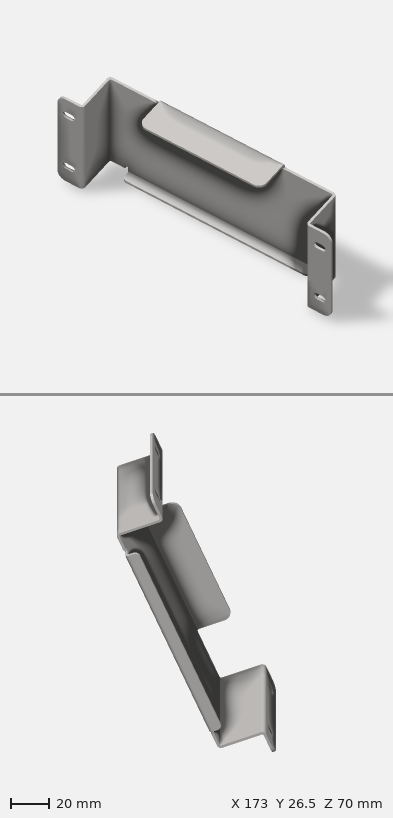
import cadquery as cq

length = 173.0
depth = 26.5
overall_height = 70.0
body_height = 64.0

thickness = 1.5
inner_bend = 0.7
outer_bend = inner_bend + thickness

ear_width = 16.0
ear_corner = 5.0
slot_length = 7.6
slot_height = 4.5
slot_inset = 7.1
slot_spacing = 40.0

top_tab_width = 78.0
top_tab_depth = 21.5
top_tab_corner = 5.0
bottom_tab_width = 118.2
bottom_tab_depth = 7.5
bottom_tab_corner = 3.0

notch_width = 2.0
notch_depth = 2.0

half_length = length / 2
inner_wall_x = half_length - ear_width
outer_wall_x = inner_wall_x + thickness


def make_body():
    """Hat-shaped strip: back plate, two side walls and two outward ears."""
    outline = [
        (-half_length, 0),
        (-inner_wall_x, 0),
        (-inner_wall_x, depth - thickness),
        (inner_wall_x, depth - thickness),
        (inner_wall_x, 0),
        (half_length, 0),
        (half_length, thickness),
        (outer_wall_x, thickness),
        (outer_wall_x, depth),
        (-outer_wall_x, depth),
        (-outer_wall_x, thickness),
        (-half_length, thickness),
    ]
    body = cq.Workplane("XY").polyline(outline).close().extrude(body_height / 2, both=True)
    outer_corners = [(side * x, y) for side in (-1, 1) for x, y in ((inner_wall_x, 0), (outer_wall_x, depth))]
    inner_corners = [
        (side * x, y)
        for side in (-1, 1)
        for x, y in ((inner_wall_x, depth - thickness), (outer_wall_x, thickness))
    ]
    for corners, radius in ((outer_corners, outer_bend), (inner_corners, inner_bend)):
        for x, y in corners:
            edge = cq.selectors.NearestToPointSelector((x, y, 0))
            body = body.edges("|Z").edges(edge).fillet(radius)
    ear_ends = body.faces("<X or >X").edges("|Y")
    return ear_ends.fillet(ear_corner)


def make_tab(width, tab_depth, corner, direction):
    """Tab folded forward from the back plate, at the top (+1) or bottom (-1)."""
    outer_z = direction * overall_height / 2
    inner_z = outer_z - direction * thickness
    root_z = direction * (body_height / 2 - notch_depth)
    front_y = depth - tab_depth
    back_inner_y = depth - thickness
    tab = (
        cq.Workplane("YZ")
        .moveTo(depth, root_z)
        .lineTo(depth, outer_z - direction * outer_bend)
        .radiusArc((depth - outer_bend, outer_z), -direction * outer_bend)
        .lineTo(front_y, outer_z)
        .lineTo(front_y, inner_z)
        .lineTo(back_inner_y - inner_bend, inner_z)
        .radiusArc((back_inner_y, inner_z - direction * inner_bend), direction * inner_bend)
        .lineTo(back_inner_y, root_z)
        .close()
        .extrude(width / 2, both=True)
    )
    return tab.faces("<Y").edges("|Z").fillet(corner)


def make_slots():
    """Cutters for the horizontal slots, two in each ear."""
    slot_x = half_length - slot_inset
    centres = [(x, z) for x in (-slot_x, slot_x) for z in (-slot_spacing / 2, slot_spacing / 2)]
    return (
        cq.Workplane("XZ")
        .pushPoints(centres)
        .slot2D(slot_length, slot_height)
        .extrude(-thickness)
    )


def make_notches():
    """Cutters for the relief notches beside the bottom tab."""
    notch_x = (bottom_tab_width + notch_width) / 2
    return (
        cq.Workplane("XY", origin=(0, depth - thickness / 2, (notch_depth - body_height) / 2))
        .pushPoints([(-notch_x, 0), (notch_x, 0)])
        .box(notch_width, thickness, notch_depth)
    )


result = (
    make_body()
    .cut(make_slots())
    .cut(make_notches())
    .union(make_tab(top_tab_width, top_tab_depth, top_tab_corner, 1))
    .union(make_tab(bottom_tab_width, bottom_tab_depth, bottom_tab_corner, -1))
)